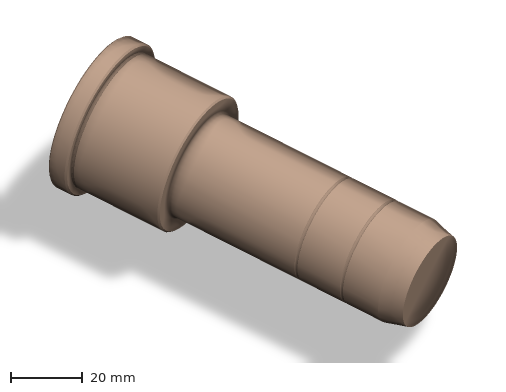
import cadquery as cq
import math

overall_length = 111.0
head_radius = 47.0 / 2
collar_radius = 42.0 / 2
shaft_radius = 32.0 / 2

head_end = 6.0
collar_end = 35.0
taper_start = 104.0
taper_angle = 15.0

edge_chamfer = 0.5
shaft_root_fillet = 0.7
groove_width = 1.0
groove_depth = 0.3
shaft_groove_starts = (76.5, 91.5)


def cylinder_along_x(radius, start, end):
    return cq.Workplane("YZ", origin=(start, 0, 0)).circle(radius).extrude(end - start)


def ring_groove(radius, start):
    """Ring cutter with a circular-arc bottom, sunk into a cylinder of the given radius."""
    middle = start + groove_width / 2
    return (
        cq.Workplane("XZ")
        .moveTo(start, radius)
        .threePointArc((middle, radius - groove_depth), (start + groove_width, radius))
        .close()
        .revolve(360, (0, 0, 0), (1, 0, 0))
    )


head = cylinder_along_x(head_radius, 0, head_end).edges().chamfer(edge_chamfer)
collar = cylinder_along_x(collar_radius, 0, collar_end).edges(">X").chamfer(edge_chamfer)

tip_radius = shaft_radius - (overall_length - taper_start) * math.tan(math.radians(taper_angle))
shaft_root = collar_end + shaft_root_fillet
fillet_middle = shaft_root_fillet * (1 - math.sqrt(0.5))
shaft = (
    cq.Workplane("XZ")
    .moveTo(0, 0)
    .lineTo(0, shaft_radius)
    .lineTo(collar_end, shaft_radius)
    .lineTo(collar_end, shaft_radius + shaft_root_fillet)
    .threePointArc((collar_end + fillet_middle, shaft_radius + fillet_middle), (shaft_root, shaft_radius))
    .lineTo(taper_start, shaft_radius)
    .lineTo(overall_length, tip_radius)
    .lineTo(overall_length, 0)
    .close()
    .revolve(360, (0, 0, 0), (1, 0, 0))
)

pin = head.union(collar).union(shaft)

pin = pin.cut(ring_groove(collar_radius, head_end))
for groove_start in shaft_groove_starts:
    pin = pin.cut(ring_groove(shaft_radius, groove_start))

result = pin